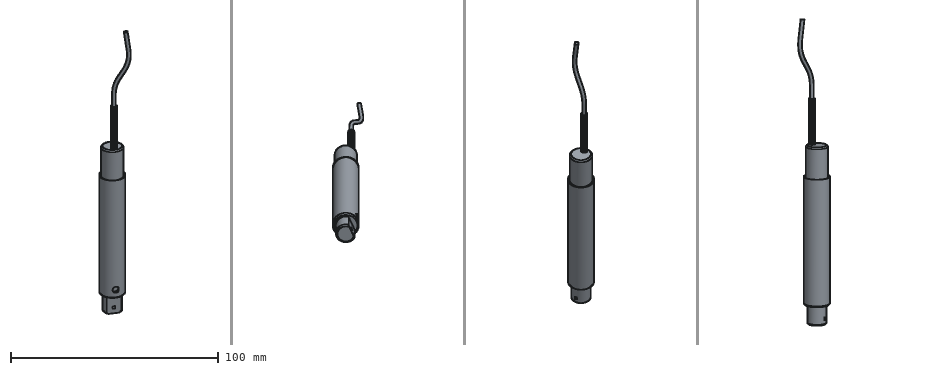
import cadquery as cq
import math

BODY_DIAMETER = 12.8
NOSE_DIAMETER = 9.6
NOSE_HEIGHT = 9.6
BODY_TOP = 73.3
EDGE_CHAMFER = 0.8

MOUTH_DIAMETER = 12.2
SEAT_DIAMETER = 11.4
MOUTH_DEPTH = 0.3
SEAT_Z = BODY_TOP - MOUTH_DEPTH

NOSE_FLAT_X = 3.0
NOSE_HOLE_DIAMETER = 1.5
NOSE_HOLE_Z = 3.2
BODY_HOLE_DIAMETER = 3.2
BODY_HOLE_Z = 14.3
BODY_HOLE_DEPTH = 1.5

PLUG_DIAMETER = 11.0
PLUG_TOP = 89.0

CABLE_X = 2.9
RELIEF_DIAMETER = 3.2
RELIEF_HEIGHT = 22.8
RIB_COUNT = 60
RIB_PITCH = RELIEF_HEIGHT / RIB_COUNT

CORD_DIAMETER = 2.0
CORD_TOP = 152.0
CORD_HEADING = 71.0
FIRST_BEND_Z = 118.3
BEND_RADIUS = 16.7
SLANT_ANGLE = 31.0
SLANT_LENGTH = 4.9
END_ANGLE = 8.0


def cylinder(diameter, bottom_z, top_z):
    """Upright cylinder on the housing axis."""
    return cq.Workplane("XY").workplane(offset=bottom_z).circle(diameter / 2).extrude(top_z - bottom_z)


def make_nose():
    """Nose with a chamfered tip and a flat on its +X side."""
    nose = cylinder(NOSE_DIAMETER, 0, NOSE_HEIGHT).faces("<Z").chamfer(EDGE_CHAMFER)
    beyond_flat = cq.Workplane("XY").box(
        NOSE_DIAMETER, NOSE_DIAMETER, NOSE_HEIGHT, centered=(False, True, False)
    )
    return nose.cut(beyond_flat.translate((NOSE_FLAT_X, 0, 0)))


def make_nose_hole():
    """Cutter for the cross hole through the whole nose along X."""
    hole = cq.Workplane("YZ").center(0, NOSE_HOLE_Z).circle(NOSE_HOLE_DIAMETER / 2)
    return hole.extrude(NOSE_DIAMETER, both=True)


def make_body_hole():
    """Cutter for the blind hole in the +X side of the body."""
    floor_x = BODY_DIAMETER / 2 - BODY_HOLE_DEPTH
    hole = cq.Workplane("YZ").workplane(offset=floor_x).center(0, BODY_HOLE_Z)
    return hole.circle(BODY_HOLE_DIAMETER / 2).extrude(2 * BODY_HOLE_DEPTH)


def make_mouth():
    """Cutter for the tapered mouth in the top of the body, with the flat seat as its floor."""
    seat = cq.Workplane("XY").workplane(offset=SEAT_Z).circle(SEAT_DIAMETER / 2)
    return seat.workplane(offset=MOUTH_DEPTH).circle(MOUTH_DIAMETER / 2).loft(ruled=True)


def make_housing():
    body = cylinder(BODY_DIAMETER, NOSE_HEIGHT, BODY_TOP).faces("<Z").chamfer(EDGE_CHAMFER)
    housing = body.union(make_nose())
    return housing.cut(make_mouth()).cut(make_nose_hole()).cut(make_body_hole())


def make_plug():
    """Round plug standing on the seat of the housing, chamfered at its top."""
    return cylinder(PLUG_DIAMETER, SEAT_Z, PLUG_TOP).faces(">Z").chamfer(EDGE_CHAMFER)


def make_strain_relief():
    """Stack of fine ribs, each a half circle in profile, from foot to top."""
    crest = RELIEF_DIAMETER / 2
    valley = crest - RIB_PITCH / 2
    profile = cq.Workplane("XZ").lineTo(valley, 0)
    for rib in range(RIB_COUNT):
        rib_foot = rib * RIB_PITCH
        profile = profile.threePointArc((crest, rib_foot + RIB_PITCH / 2), (valley, rib_foot + RIB_PITCH))
    relief = profile.lineTo(0, RELIEF_HEIGHT).close().revolve(360, (0, 0, 0), (0, 1, 0))
    return relief.translate((CABLE_X, 0, PLUG_TOP))


def make_cord_path():
    """Centre line of the cord; its points are (distance outward, z) in the plane of the cord."""
    slant = math.radians(SLANT_ANGLE)
    end = math.radians(END_ANGLE)
    heading = math.radians(CORD_HEADING)

    def on_bend(centre, side, angle):
        """Point on a bend, at an angle above the horizontal; side is -1 for inward, 1 for outward."""
        return (
            centre[0] + side * BEND_RADIUS * math.cos(angle),
            centre[1] + BEND_RADIUS * math.sin(angle),
        )

    first_centre = (BEND_RADIUS, FIRST_BEND_Z)
    first_middle = on_bend(first_centre, -1, slant / 2)
    slant_start = on_bend(first_centre, -1, slant)
    slant_end = (
        slant_start[0] + SLANT_LENGTH * math.sin(slant),
        slant_start[1] + SLANT_LENGTH * math.cos(slant),
    )
    second_centre = (
        slant_end[0] - BEND_RADIUS * math.cos(slant),
        slant_end[1] + BEND_RADIUS * math.sin(slant),
    )
    second_middle = on_bend(second_centre, 1, (end - slant) / 2)
    end_start = on_bend(second_centre, 1, end)
    tip_z = CORD_TOP - CORD_DIAMETER / 2 * math.sin(end)
    tip = (end_start[0] - (tip_z - end_start[1]) * math.tan(end), tip_z)

    cord_plane = cq.Plane(
        origin=(CABLE_X, 0, 0),
        xDir=(math.cos(heading), math.sin(heading), 0),
        normal=(math.sin(heading), -math.cos(heading), 0),
    )
    return (
        cq.Workplane(cord_plane)
        .moveTo(0, PLUG_TOP)
        .lineTo(0, FIRST_BEND_Z)
        .threePointArc(first_middle, slant_start)
        .lineTo(*slant_end)
        .threePointArc(second_middle, end_start)
        .lineTo(*tip)
    )


def make_cord():
    """Round cord swept from the foot of the strain relief to the free end."""
    section = cq.Workplane("XY").workplane(offset=PLUG_TOP).center(CABLE_X, 0).circle(CORD_DIAMETER / 2)
    return section.sweep(make_cord_path())


def make_cable_assembly():
    """Plug, strain relief and cord as one solid."""
    return make_plug().union(make_strain_relief()).union(make_cord())


housing = make_housing()
cable_assembly = make_cable_assembly()

result = cq.Compound.makeCompound([housing.solids().val(), cable_assembly.solids().val()])